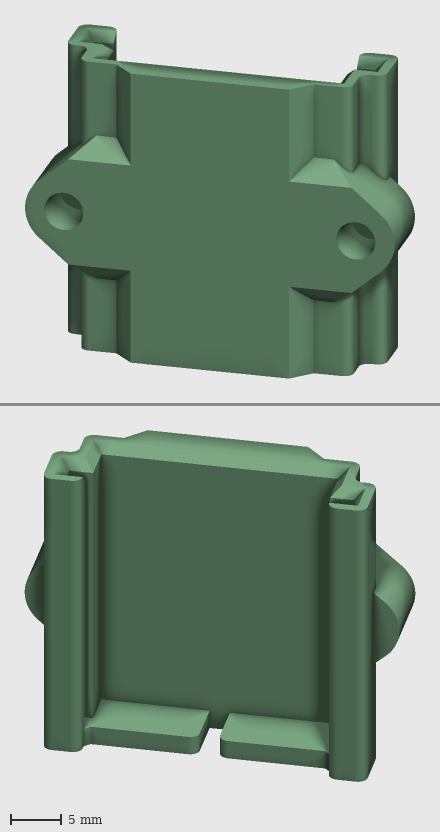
import cadquery as cq
import math

overall_width = 38.0
height = 30.9
depth = 11.6
mouth_wall = 1.0
flare = 1.0
wall = mouth_wall + flare
corner_radius = 1.0

pad_thickness = 2.0
pad_half_width = 8.15
upper_half_width = 16.4
lower_half_width = 14.0
step_y = 5.9
lip_half_gap = 12.5

end_gap = 2.05
gusset = 0.6

hole_diameter = 4.0
ear_radius = 4.0
ear_center_x = overall_width / 2 - ear_radius
ear_depth = 7.7
ear_half_height = 7.65
ear_corner_x = 12.2
hole_depth = ear_depth - wall

lip_inner_y = depth - wall
floor_y = pad_thickness + wall
bottom_z = -height / 2
cavity_bottom = bottom_z + wall
mouth_z = height / 2 - flare


def prism(points, z_start, length):
    """Extrude an XY outline upward along Z."""
    return cq.Workplane("XY").workplane(offset=z_start).polyline(points).close().extrude(length)


def mirrored(points):
    """Complete a right-hand outline with its mirror image in X."""
    return points + [(-x, y) for x, y in reversed(points)]


def cavity_outline(wall_size):
    """Stepped cavity section at a given wall thickness."""
    lower_x = lower_half_width - wall_size
    upper_x = upper_half_width - wall_size
    shelf_y = step_y + wall_size
    return mirrored([
        (lower_x, pad_thickness + wall_size),
        (lower_x, shelf_y),
        (upper_x, shelf_y),
        (upper_x, depth - wall_size),
    ])


def shell():
    """Solid stepped body with all its long outer edges rounded."""
    outline = mirrored([
        (lower_half_width, pad_thickness),
        (lower_half_width, step_y),
        (upper_half_width, step_y),
        (upper_half_width, depth),
    ])
    return prism(outline, bottom_z, height).edges("|Z").fillet(corner_radius)


def lip_opening():
    """Clearance between the lips, rounding their free edges."""
    y_arc = depth - corner_radius
    x_arc = lip_half_gap + corner_radius
    offset = corner_radius * math.sqrt(0.5)
    return (
        cq.Workplane("XY").workplane(offset=bottom_z)
        .moveTo(-lip_half_gap, lip_inner_y)
        .lineTo(lip_half_gap, lip_inner_y)
        .lineTo(lip_half_gap, y_arc)
        .threePointArc((x_arc - offset, y_arc + offset), (x_arc, depth))
        .lineTo(-x_arc, depth)
        .threePointArc((-x_arc + offset, y_arc + offset), (-lip_half_gap, y_arc))
        .close().extrude(height)
    )


def mouth_flare():
    """Cavity mouth widening at 45 degrees toward the open end."""
    return (
        cq.Workplane("XY").workplane(offset=mouth_z)
        .polyline(cavity_outline(wall)).close()
        .workplane(offset=flare)
        .polyline(cavity_outline(mouth_wall)).close()
        .loft(ruled=True)
    )


def end_slit():
    """Slit splitting the end wall, with the two free corners rounded."""
    half_gap = end_gap / 2
    round_y = lip_inner_y - corner_radius
    round_x = half_gap + corner_radius
    offset = corner_radius * math.sqrt(0.5)
    return (
        cq.Workplane("XY").workplane(offset=bottom_z)
        .moveTo(-half_gap, floor_y)
        .lineTo(half_gap, floor_y)
        .lineTo(half_gap, round_y)
        .threePointArc((round_x - offset, round_y + offset), (round_x, lip_inner_y))
        .lineTo(-round_x, lip_inner_y)
        .threePointArc((-round_x + offset, round_y + offset), (-half_gap, round_y))
        .close().extrude(wall)
    )


def lip_gusset(side):
    """Small 45 degree corner where the end wall meets one lip."""
    points = [
        (side * lip_half_gap, lip_inner_y),
        (side * (lip_half_gap - gusset), lip_inner_y),
        (side * lip_half_gap, lip_inner_y + gusset),
    ]
    return prism(points, bottom_z, wall)


def pad():
    """Raised mounting strip over the full height."""
    base_half_width = pad_half_width + pad_thickness
    return prism(mirrored([(pad_half_width, 0), (base_half_width, pad_thickness)]), bottom_z, height)


def ears():
    """Mounting ears with tangent flanks, narrowed by 45 degrees at the mounting face."""
    corner_dx = ear_center_x - ear_corner_x
    corner_distance = math.hypot(corner_dx, ear_half_height)
    angle = math.atan2(ear_half_height, -corner_dx) - math.acos(ear_radius / corner_distance)
    tangent_x = ear_center_x + ear_radius * math.cos(angle)
    tangent_z = ear_radius * math.sin(angle)
    tip_x = ear_center_x + ear_radius
    plate = (
        cq.Workplane("XZ")
        .moveTo(-ear_corner_x, ear_half_height)
        .lineTo(ear_corner_x, ear_half_height)
        .lineTo(tangent_x, tangent_z)
        .threePointArc((tip_x, 0), (tangent_x, -tangent_z))
        .lineTo(ear_corner_x, -ear_half_height)
        .lineTo(-ear_corner_x, -ear_half_height)
        .lineTo(-tangent_x, -tangent_z)
        .threePointArc((-tip_x, 0), (-tangent_x, tangent_z))
        .close().extrude(-ear_depth)
    )
    face_half_height = ear_half_height - pad_thickness
    band = (
        cq.Workplane("YZ").workplane(offset=-tip_x)
        .polyline([
            (0, -face_half_height),
            (pad_thickness, -ear_half_height),
            (ear_depth, -ear_half_height),
            (ear_depth, ear_half_height),
            (pad_thickness, ear_half_height),
            (0, face_half_height),
        ])
        .close().extrude(2 * tip_x)
    )
    return plate.intersect(band)


def ear_holes():
    """Blind mounting holes sunk from the mounting face."""
    return (
        cq.Workplane("XZ")
        .pushPoints([(-ear_center_x, 0), (ear_center_x, 0)])
        .circle(hole_diameter / 2).extrude(-hole_depth)
    )


cavity = prism(cavity_outline(wall), cavity_bottom, height - wall)

result = shell().union(pad()).union(ears())
result = result.cut(cavity).cut(mouth_flare()).cut(lip_opening()).cut(end_slit())
for side in (-1, 1):
    result = result.union(lip_gusset(side))
result = result.cut(ear_holes())